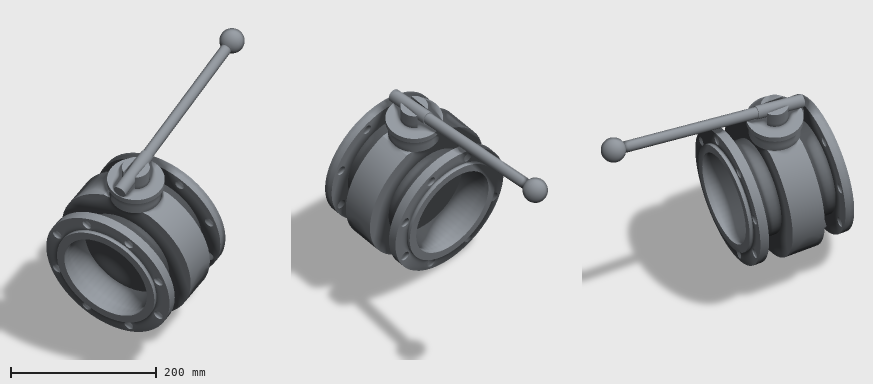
import cadquery as cq
import math

BODY_LENGTH = 155.5
NECK_DIAMETER = 139.7
BORE_DIAMETER = 134.0
RAISED_FACE_DIAMETER = 158.0
RAISED_FACE_HEIGHT = 5.8
FLANGE_DIAMETER = 200.0
FLANGE_THICKNESS = 13.5
BAND_DIAMETER = 209.0
BAND_WIDTH = 49.3
DISC_THICKNESS = BAND_WIDTH

BOLT_COUNT = 8
BOLT_HOLE_DIAMETER = 14.0
BOLT_CIRCLE_DIAMETER = 177.5

BONNET_DIAMETER = 72.0
BONNET_RIM_DIAMETER = 79.0
BONNET_RIM_THICKNESS = 8.2
BONNET_TOP_Z = 128.5
STEM_DIAMETER = 38.5
STEM_HEIGHT = 23.5

BALL_DIAMETER = 35.0
BALL_Y = 247.2
BALL_Z = 180.8
LEVER_TILT = 8.0
ROD_DIAMETER = 16.0
SLEEVE_DIAMETER = 19.0
SLEEVE_LENGTH = 71.2
LEVER_LENGTH = 291.8

BAND_FLAT_Z = math.sqrt((BAND_DIAMETER / 2) ** 2 - (BONNET_DIAMETER / 2) ** 2)


def cylinder_along_y(diameter, start_y, length):
    """Cylinder on the Y axis from start_y toward +Y."""
    plane = cq.Plane(origin=(0, start_y, 0), xDir=(1, 0, 0), normal=(0, 1, 0))
    return cq.Workplane(plane).circle(diameter / 2).extrude(length)


def centered_cylinder(diameter, length):
    return cylinder_along_y(diameter, -length / 2, length)


def upright_cylinder(diameter, bottom_z, top_z):
    return cq.Workplane("XY").workplane(offset=bottom_z).circle(diameter / 2).extrude(top_z - bottom_z)


def make_flange(side):
    """Flange with bolt holes and raised face; side is -1 or +1 along Y."""
    plane = cq.Plane(origin=(0, side * BODY_LENGTH / 2, 0), xDir=(1, 0, 0), normal=(0, -side, 0))
    raised_face = cq.Workplane(plane).circle(RAISED_FACE_DIAMETER / 2).extrude(RAISED_FACE_HEIGHT)
    plate = (
        cq.Workplane(plane)
        .workplane(offset=RAISED_FACE_HEIGHT)
        .circle(FLANGE_DIAMETER / 2)
        .extrude(FLANGE_THICKNESS)
    )
    bolt_holes = (
        cq.Workplane(plane)
        .polarArray(BOLT_CIRCLE_DIAMETER / 2, 180 / BOLT_COUNT, 360, BOLT_COUNT)
        .circle(BOLT_HOLE_DIAMETER / 2)
        .extrude(RAISED_FACE_HEIGHT + FLANGE_THICKNESS)
    )
    return raised_face.union(plate).cut(bolt_holes)


def make_band():
    """Central band with a flat seat on top for the bonnet."""
    band = centered_cylinder(BAND_DIAMETER, BAND_WIDTH)
    above_flat = (
        cq.Workplane("XY")
        .box(BAND_DIAMETER, BAND_WIDTH, BAND_DIAMETER, centered=(True, True, False))
        .translate((0, 0, BAND_FLAT_Z))
    )
    return band.cut(above_flat)


def make_bonnet():
    """Round bonnet with a rim and a stem slotted along Y for the lever."""
    rim_bottom_z = BONNET_TOP_Z - BONNET_RIM_THICKNESS
    base = upright_cylinder(BONNET_DIAMETER, BAND_FLAT_Z, rim_bottom_z)
    rim = upright_cylinder(BONNET_RIM_DIAMETER, rim_bottom_z, BONNET_TOP_Z)
    stem = upright_cylinder(STEM_DIAMETER, BONNET_TOP_Z, BONNET_TOP_Z + STEM_HEIGHT)
    slot = (
        cq.Workplane("XY")
        .box(SLEEVE_DIAMETER, STEM_DIAMETER, STEM_HEIGHT, centered=(True, True, False))
        .translate((0, 0, BONNET_TOP_Z))
    )
    return base.union(rim).union(stem.cut(slot))


def make_valve_body():
    """Flanged housing, closed by a disc at mid-length, with its bonnet."""
    body = centered_cylinder(NECK_DIAMETER, BODY_LENGTH).union(make_band())
    for side in (-1, 1):
        body = body.union(make_flange(side))
    body = body.cut(centered_cylinder(BORE_DIAMETER, BODY_LENGTH))
    disc = centered_cylinder(BORE_DIAMETER, DISC_THICKNESS)
    return body.union(disc).union(make_bonnet())


def make_lever():
    """Ball, rod and thicker end sleeve, lying in the stem slot."""
    sleeve_start = LEVER_LENGTH - SLEEVE_LENGTH
    ball = cq.Workplane("XY").sphere(BALL_DIAMETER / 2)
    rod = cylinder_along_y(ROD_DIAMETER, -sleeve_start, sleeve_start)
    sleeve = cylinder_along_y(SLEEVE_DIAMETER, -LEVER_LENGTH, SLEEVE_LENGTH)
    lever = ball.union(rod).union(sleeve)
    return lever.rotate((0, 0, 0), (1, 0, 0), LEVER_TILT).translate((0, BALL_Y, BALL_Z))


valve_body = make_valve_body()
lever = make_lever()

result = cq.Compound.makeCompound([valve_body.val(), lever.val()])